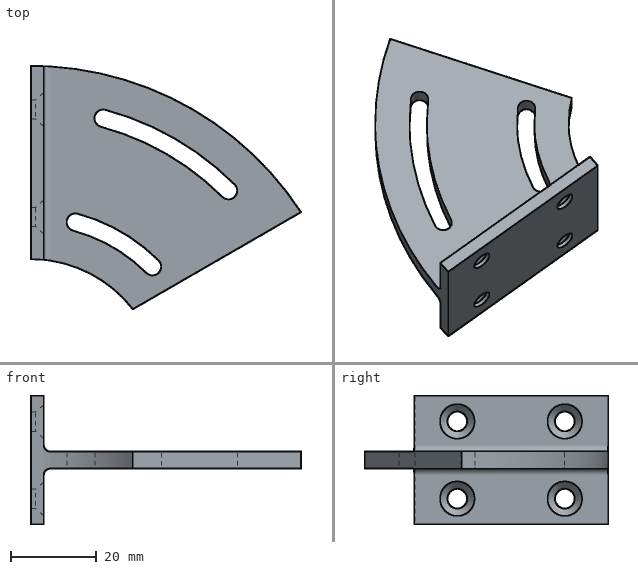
import cadquery as cq
import math

length = 62.85
height = 30.0
inner_radius = 30.0
plate_thickness = 3.0
web_thickness = 4.0
root_fillet = 1.5

edge_angle = math.radians(30.0)
edge_offset = 4.0

slot_width = 4.0
slot_radii = (40.0, 65.0)
slot_start_angle = 45.0
slot_end_angle = 75.0

hole_diameter = 4.5
sink_diameter = 8.05
sink_depth = 2.0
hole_spacing_y = 25.0
hole_spacing_z = 18.0

tip_y = length * math.tan(edge_angle) + edge_offset / math.cos(edge_angle)
outer_radius = math.hypot(length, tip_y)


def polar(radius, degrees):
    """Point at a radius and angle about the arc centre."""
    angle = math.radians(degrees)
    return radius * math.cos(angle), radius * math.sin(angle)


def edge_end(radius):
    """Point where the sloped edge meets an arc, and its angle in degrees."""
    degrees = math.degrees(edge_angle + math.asin(edge_offset / radius))
    return polar(radius, degrees), degrees


def arc_middle(radius, start, end):
    return polar(radius, (start + end) / 2)


def make_sector():
    """Full-height sector that gives the outline of both the plate and the web."""
    plate_angle = 90.0
    inner_end, inner_angle = edge_end(inner_radius)
    outer_end, outer_angle = edge_end(outer_radius)
    return (
        cq.Workplane("XY")
        .moveTo(0, inner_radius)
        .lineTo(0, outer_radius)
        .threePointArc(arc_middle(outer_radius, outer_angle, plate_angle), outer_end)
        .lineTo(*inner_end)
        .threePointArc(arc_middle(inner_radius, inner_angle, plate_angle), (0, inner_radius))
        .close()
        .extrude(height / 2, both=True)
    )


def make_tee():
    """T-section bar along Y, with filleted roots."""
    plate = cq.Workplane("XY").box(plate_thickness, outer_radius, height, centered=(False, False, True))
    web = cq.Workplane("XY").box(length, outer_radius, web_thickness, centered=(False, False, True))
    root_edges = cq.selectors.BoxSelector(
        (plate_thickness - root_fillet, 0, -web_thickness),
        (plate_thickness + root_fillet, outer_radius, web_thickness),
    )
    return plate.union(web).edges("|Y").edges(root_edges).fillet(root_fillet)


def make_slot(radius):
    """Round-ended slot following an arc, through the web."""
    inside = radius - slot_width / 2
    outside = radius + slot_width / 2
    start, end = slot_start_angle, slot_end_angle
    band = (
        cq.Workplane("XY")
        .moveTo(*polar(inside, start))
        .lineTo(*polar(outside, start))
        .threePointArc(arc_middle(outside, start, end), polar(outside, end))
        .lineTo(*polar(inside, end))
        .threePointArc(arc_middle(inside, start, end), polar(inside, start))
        .close()
        .extrude(web_thickness, both=True)
    )
    ends = (
        cq.Workplane("XY")
        .pushPoints([polar(radius, start), polar(radius, end)])
        .circle(slot_width / 2)
        .extrude(web_thickness, both=True)
    )
    return band.union(ends)


def make_mounting_hole():
    """Hole along X from the plate face, widening into a countersink."""
    radius = hole_diameter / 2
    sink_start = plate_thickness - sink_depth
    return (
        cq.Workplane("XY")
        .lineTo(0, radius)
        .lineTo(sink_start, radius)
        .lineTo(plate_thickness, sink_diameter / 2)
        .lineTo(plate_thickness, 0)
        .close()
        .revolve(360, (0, 0, 0), (1, 0, 0))
    )


result = make_tee().intersect(make_sector())

face_bottom_y = math.sqrt(inner_radius**2 - plate_thickness**2)
face_top_y = math.sqrt(outer_radius**2 - plate_thickness**2)
plate_middle = (face_bottom_y + face_top_y) / 2
for side_y in (-1, 1):
    for side_z in (-1, 1):
        hole_y = plate_middle + side_y * hole_spacing_y / 2
        hole_z = side_z * hole_spacing_z / 2
        result = result.cut(make_mounting_hole().translate((0, hole_y, hole_z)))
for slot_radius in slot_radii:
    result = result.cut(make_slot(slot_radius))